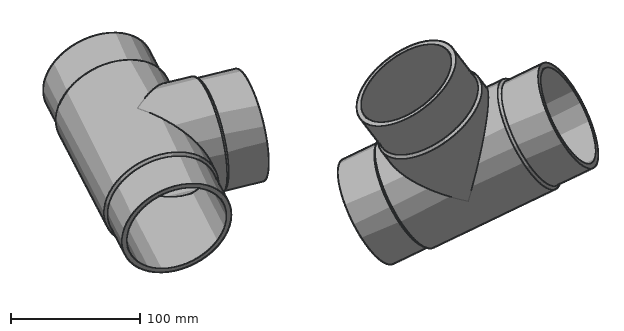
import cadquery as cq

run_length = 181.0
branch_reach = 92.0
spigot_length = 33.0
spigot_diameter = 90.0
body_diameter = 94.3
bore_diameter = 81.6
shoulder_chamfer = (body_diameter - spigot_diameter) / 2

run_body_length = run_length - 2 * spigot_length
branch_body_reach = branch_reach - spigot_length


def run_cylinder(diameter, length):
    """Cylinder along X, centred on the origin."""
    return cq.Workplane("YZ").circle(diameter / 2).extrude(length / 2, both=True)


def branch_cylinder(diameter, reach):
    """Cylinder along +Y, starting at the run axis."""
    return cq.Workplane("XZ").circle(diameter / 2).extrude(-reach)


run_body = run_cylinder(body_diameter, run_body_length).faces("<X or >X").chamfer(shoulder_chamfer)
branch_body = branch_cylinder(body_diameter, branch_body_reach).faces(">Y").chamfer(shoulder_chamfer)
body = run_body.union(branch_body)

run_spigots = run_cylinder(spigot_diameter, run_length)
branch_spigot = branch_cylinder(spigot_diameter, branch_reach)

run_bore = run_cylinder(bore_diameter, run_length)
branch_bore = branch_cylinder(bore_diameter, branch_reach)

result = body.union(run_spigots).union(branch_spigot).cut(run_bore).cut(branch_bore)